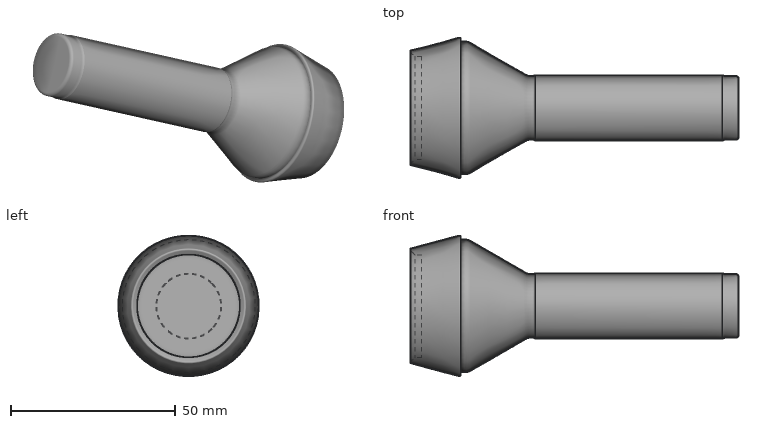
import cadquery as cq
import math


total_length = 100.0

head_length = 15.4
head_rim_radius = 42.85 / 2
head_rim_fillet = 0.5
head_flare = math.radians(15)
lip_fillet = 0.4

recess_slope = math.radians(45)
lens_radius = 31.3 / 2
lens_thickness = 2.0

collar_radius = 40.5 / 2
neck_radius = 19.5 / 2
grip_radius = 20.0 / 2
shoulder_start_x = 17.5
shoulder_slope = math.radians(30)
shoulder_fillet = 3.0
grip_start_x = 38.0
grip_end_x = 95.0
grip_start_blend = 1.0
grip_end_blend = 2.0
end_fillet = 1.0

rim_center_x = head_length - head_rim_fillet
rim_center_r = head_rim_radius - head_rim_fillet
flare_end_x = rim_center_x - head_rim_fillet * math.sin(head_flare)
flare_end_r = rim_center_r + head_rim_fillet * math.cos(head_flare)

flare_start_x = lip_fillet * (1 - math.sin(head_flare))
flare_start_r = flare_end_r - (flare_end_x - flare_start_x) * math.tan(head_flare)
lip_center_r = flare_start_r - lip_fillet * math.cos(head_flare)
recess_start_x = lip_fillet * (1 - math.sin(recess_slope))
recess_start_r = lip_center_r - lip_fillet * math.cos(recess_slope)

lens_front_x = recess_start_x + (recess_start_r - lens_radius) / math.tan(recess_slope)
lens_back_x = lens_front_x + lens_thickness

shoulder_end_x = shoulder_start_x + (collar_radius - neck_radius) / math.tan(shoulder_slope)
fillet_reach = shoulder_fillet * math.tan(shoulder_slope / 2)
fillet_reach_x = fillet_reach * math.cos(shoulder_slope)
fillet_reach_r = fillet_reach * math.sin(shoulder_slope)


def blend_length(blend_radius):
    """Axial length of the concave arc that rises from the neck radius to the grip radius."""
    rise = grip_radius - neck_radius
    return math.sqrt(blend_radius**2 - (blend_radius - rise) ** 2)


def make_housing():
    profile = (
        cq.Workplane("XZ")
        .moveTo(lens_back_x, 0)
        .lineTo(lens_back_x, lens_radius)
        .lineTo(lens_front_x, lens_radius)
        .lineTo(recess_start_x, recess_start_r)
        .threePointArc((0, lip_center_r), (flare_start_x, flare_start_r))
        .lineTo(flare_end_x, flare_end_r)
        .threePointArc((rim_center_x, head_rim_radius), (head_length, rim_center_r))
        .lineTo(head_length, collar_radius)
        .lineTo(shoulder_start_x - fillet_reach, collar_radius)
        .tangentArcPoint((shoulder_start_x + fillet_reach_x, collar_radius - fillet_reach_r), relative=False)
        .lineTo(shoulder_end_x - fillet_reach_x, neck_radius + fillet_reach_r)
        .tangentArcPoint((shoulder_end_x + fillet_reach, neck_radius), relative=False)
        .lineTo(grip_start_x - blend_length(grip_start_blend), neck_radius)
        .tangentArcPoint((grip_start_x, grip_radius), relative=False)
        .lineTo(grip_end_x, grip_radius)
        .radiusArc((grip_end_x + blend_length(grip_end_blend), neck_radius), -grip_end_blend)
        .lineTo(total_length - end_fillet, neck_radius)
        .tangentArcPoint((total_length, neck_radius - end_fillet), relative=False)
        .lineTo(total_length, 0)
        .close()
    )
    return profile.revolve(360, (0, 0, 0), (1, 0, 0))


def make_lens():
    return cq.Workplane("YZ", origin=(lens_front_x, 0, 0)).circle(lens_radius).extrude(lens_thickness)


housing = make_housing()
lens = make_lens()
result = cq.Compound.makeCompound([housing.val(), lens.val()])